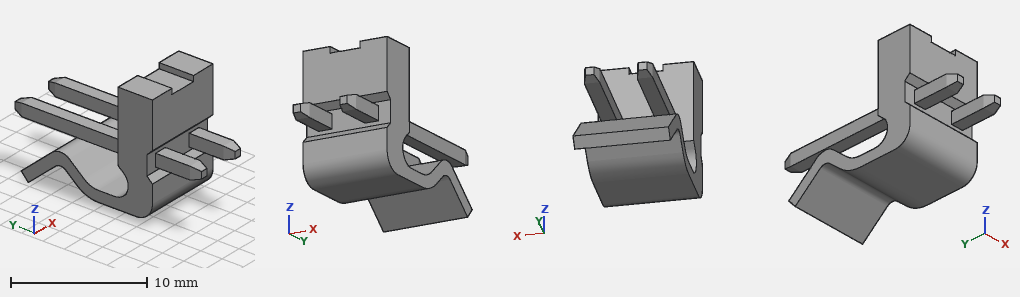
import cadquery as cq
import math


width = 7.16
overall_height = 10.75
wall_depth = 3.22
wall_bottom = 3.69
front_corner_radius = 1.52

pin_height = 4.6
groove_depth = 0.52
groove_mouth = 2.77
groove_floor = 1.77

notch_width = 2.53
notch_depth = 0.51

latch_angle = math.radians(41)
latch_thickness = 1.01
latch_tip_drop = 0.54
root_radius = 1.27
bend_radius = 2.03
peak_y = 8.59
peak_top = 3.01
peak_outer_radius = 1.27
peak_inner_radius = 0.76

pin_pitch = 3.96
pin_size = 1.15
pin_tip_size = 0.63
pin_taper = 0.85
pin_front = -3.58
pin_length = 17.45

wall_top = overall_height - latch_tip_drop


def rounded_outline(corners):
    """Closed YZ outline from (y, z, radius) corners.

    A radius of 0 leaves the corner sharp; the first corner is always sharp.
    """
    stretches = []
    sharp_points = [cq.Vector(y, z) for y, z, _ in corners]
    for index, corner in enumerate(sharp_points):
        before = sharp_points[index - 1]
        after = sharp_points[(index + 1) % len(corners)]
        radius = corners[index][2]
        if radius == 0:
            stretches.append([corner])
            continue
        to_before = (before - corner).normalized()
        to_after = (after - corner).normalized()
        half_angle = to_before.getAngle(to_after) / 2
        tangent_length = radius / math.tan(half_angle)
        to_center = (to_before + to_after).normalized()
        arc_middle = corner + to_center * (radius / math.sin(half_angle) - radius)
        arc_start = corner + to_before * tangent_length
        arc_end = corner + to_after * tangent_length
        stretches.append([arc_start, arc_middle, arc_end])

    first_point, *_ = stretches[0]
    outline = cq.Workplane("YZ").moveTo(first_point.x, first_point.y)
    for stretch in stretches[1:]:
        line_end, *arc_points = stretch
        outline = outline.lineTo(line_end.x, line_end.y)
        if arc_points:
            outline = outline.threePointArc(*[(point.x, point.y) for point in arc_points])
    return outline.close()


def make_housing():
    """Wall and latch as one profile across the full width."""
    slope = math.tan(latch_angle)
    strip_height = latch_thickness / math.cos(latch_angle)

    peak_upper = peak_top + peak_outer_radius * (1 / math.cos(latch_angle) - 1)
    peak_lower = peak_upper - strip_height
    foot_upper_y = peak_y - (peak_upper - latch_thickness) / slope
    foot_lower_y = peak_y - peak_lower / slope
    tip_lower_y = peak_y + (peak_lower + latch_tip_drop) / slope
    tip_upper_y = tip_lower_y + latch_thickness * math.sin(latch_angle)
    tip_upper_z = latch_thickness * math.cos(latch_angle) - latch_tip_drop

    root_y = wall_depth - (wall_bottom - latch_thickness) / slope

    groove_mouth_low = pin_height - groove_mouth / 2
    groove_mouth_high = pin_height + groove_mouth / 2
    groove_floor_low = pin_height - groove_floor / 2
    groove_floor_high = pin_height + groove_floor / 2

    profile = rounded_outline([
        (wall_depth, wall_top, 0),
        (0, wall_top, 0),
        (0, groove_mouth_high, 0),
        (groove_depth, groove_floor_high, 0),
        (groove_depth, groove_floor_low, 0),
        (0, groove_mouth_low, 0),
        (0, 0, front_corner_radius),
        (foot_lower_y, 0, bend_radius + latch_thickness),
        (peak_y, peak_lower, peak_inner_radius),
        (tip_lower_y, -latch_tip_drop, 0),
        (tip_upper_y, tip_upper_z, 0),
        (peak_y, peak_upper, peak_outer_radius),
        (foot_upper_y, latch_thickness, bend_radius),
        (root_y, latch_thickness, root_radius),
        (wall_depth, wall_bottom, 0),
    ])
    return profile.extrude(width / 2, both=True)


def make_notch():
    """Cutter for the notch through the top edge."""
    notch = cq.Workplane("XY").box(notch_width, wall_depth, notch_depth, centered=(True, False, False))
    return notch.translate((0, 0, wall_top - notch_depth))


def make_pin(x):
    """Square pin along Y with both ends tapered to a smaller square."""
    pin = (
        cq.Workplane("XZ", origin=(x, pin_front + pin_taper, pin_height))
        .rect(pin_size, pin_size)
        .extrude(2 * pin_taper - pin_length)
    )
    pin_back = pin_front + pin_length
    for end_y, direction in ((pin_front, 1), (pin_back, -1)):
        taper = (
            cq.Workplane("XZ", origin=(x, end_y, pin_height))
            .rect(pin_tip_size, pin_tip_size)
            .workplane(offset=-direction * pin_taper)
            .rect(pin_size, pin_size)
            .loft(ruled=True)
        )
        pin = pin.union(taper)
    return pin


result = make_housing().cut(make_notch())
for side in (-1, 1):
    result = result.union(make_pin(side * pin_pitch / 2))